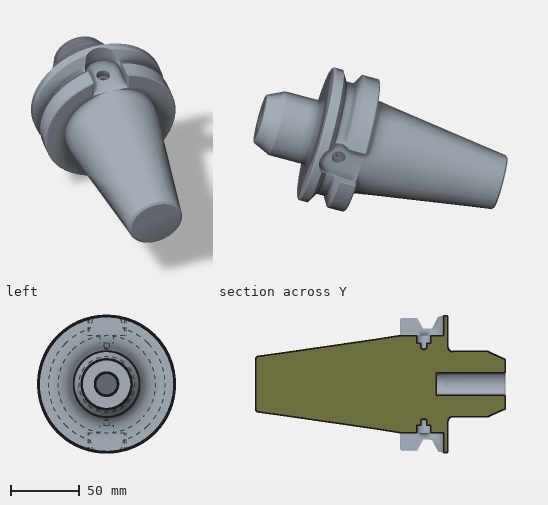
import cadquery as cq
import math

total_length = 181.8

nose_radius = 24.0
nose_tip_radius = 18.4
nose_tip_edge = 0.5
nose_cone_length = 12.7
nose_relief_start = 37.8
nose_relief_diameter = 47.8
nose_relief_radius = nose_relief_diameter / 2
nose_relief_ramp = 1.0
nose_fillet = 3.3
nose_fillet_end_radius = 27.5
nose_fillet_rim_radius = 28.4
nose_fillet_rim_depth = 0.2

flange_start = 41.8
flange_end = 76.7
flange_radius = 50.0
flange_edge = 0.9
groove_radius = 42.4
groove_floor_start = 53.5
groove_floor_end = 59.8
groove_flank_angle = 60.0
groove_flank_length = (flange_radius - groove_radius) / math.tan(math.radians(groove_flank_angle))

cone_start_radius = 35.5
cone_slope = 7 / 48
cone_edge = 1.3
cone_end_radius = cone_start_radius - (total_length - flange_end) * cone_slope

bore_diameter = 16.0
bore_depth = 50.0
bore_chamfer = 0.7

slot_half_width = 12.9
slot_center_x = 58.0
slot_floor = 35.5
slot_floor_fillet = 0.9
slot_rear_bevel = 0.9
slot_outer_bevel = 0.4

hole_x = 59.5
counterbore_diameter = 10.0
counterbore_depth = 5.5
pilot_diameter = 4.0
pilot_depth = 3.6
drill_point_angle = 118.0


def make_body():
    """Revolve the nose, flange and rear cone about X."""
    outline = (
        cq.Workplane("XY")
        .lineTo(0, nose_tip_radius - nose_tip_edge)
        .lineTo(nose_tip_edge, nose_tip_radius)
        .lineTo(nose_cone_length, nose_radius)
        .lineTo(nose_relief_start, nose_radius)
        .lineTo(nose_relief_start + nose_relief_ramp, nose_relief_radius)
        .radiusArc((flange_start - nose_fillet_rim_depth, nose_fillet_end_radius), -nose_fillet)
        .lineTo(flange_start, nose_fillet_rim_radius)
        .lineTo(flange_start, flange_radius - flange_edge)
        .lineTo(flange_start + flange_edge, flange_radius)
        .lineTo(groove_floor_start - groove_flank_length, flange_radius)
        .lineTo(groove_floor_start, groove_radius)
        .lineTo(groove_floor_end, groove_radius)
        .lineTo(groove_floor_end + groove_flank_length, flange_radius)
        .lineTo(flange_end - flange_edge, flange_radius)
        .lineTo(flange_end, flange_radius - flange_edge)
        .lineTo(flange_end, cone_start_radius)
        .lineTo(total_length - cone_edge, cone_end_radius + cone_edge * cone_slope)
        .lineTo(total_length, cone_end_radius - cone_edge)
        .lineTo(total_length, 0)
        .close()
    )
    return outline.revolve(360, (0, 0, 0), (1, 0, 0))


def make_bore():
    """Blind bore in the nose with a chamfered mouth."""
    radius = bore_diameter / 2
    return (
        cq.Workplane("XY")
        .lineTo(0, radius + bore_chamfer)
        .lineTo(bore_chamfer, radius)
        .lineTo(bore_depth, radius)
        .lineTo(bore_depth, 0)
        .close()
        .revolve(360, (0, 0, 0), (1, 0, 0))
    )


def make_slot():
    """Round-ended slot on the +Z side, open toward the rear cone."""
    straight_length = flange_end - slot_center_x
    height = flange_radius - slot_floor
    base = cq.Workplane("XY", origin=(slot_center_x, 0, slot_floor))
    slot = (
        base.moveTo(0, slot_half_width)
        .lineTo(straight_length, slot_half_width)
        .lineTo(straight_length, -slot_half_width)
        .lineTo(0, -slot_half_width)
        .threePointArc((-slot_half_width, 0), (0, slot_half_width))
        .close()
        .extrude(height)
    )
    return slot.faces("<Z").edges("not >X").fillet(slot_floor_fillet)


def make_slot_hole():
    """Counterbored pilot hole with a drill point, running down from the slot floor."""
    counterbore_floor = slot_floor - counterbore_depth
    pilot_floor = counterbore_floor - pilot_depth
    pilot_radius = pilot_diameter / 2
    point_depth = pilot_radius / math.tan(math.radians(drill_point_angle / 2))
    return (
        cq.Workplane("XZ")
        .moveTo(hole_x, slot_floor)
        .lineTo(hole_x + counterbore_diameter / 2, slot_floor)
        .lineTo(hole_x + counterbore_diameter / 2, counterbore_floor)
        .lineTo(hole_x + pilot_radius, counterbore_floor)
        .lineTo(hole_x + pilot_radius, pilot_floor)
        .lineTo(hole_x, pilot_floor - point_depth)
        .close()
        .revolve(360, (hole_x, 0, 0), (hole_x, 1, 0))
    )


def make_slot_bevels():
    """Wedges that bevel the outer and rear edges of the slot walls behind the groove."""
    bevel = slot_rear_bevel
    rear_bevel = (
        cq.Workplane("XY", origin=(flange_end, 0, slot_floor))
        .moveTo(-bevel, slot_half_width)
        .lineTo(0, slot_half_width + bevel)
        .lineTo(0, -slot_half_width - bevel)
        .lineTo(-bevel, -slot_half_width)
        .close()
        .extrude(flange_radius - slot_floor)
    )
    wall_top = math.sqrt(flange_radius**2 - slot_half_width**2)
    bevel_start = wall_top - slot_outer_bevel
    rise = flange_radius - bevel_start
    outer_bevel = (
        cq.Workplane("YZ", origin=(groove_floor_end, 0, bevel_start))
        .moveTo(slot_half_width, 0)
        .lineTo(slot_half_width + rise, rise)
        .lineTo(-slot_half_width - rise, rise)
        .lineTo(-slot_half_width, 0)
        .close()
        .extrude(flange_end - groove_floor_end)
    )
    return rear_bevel.union(outer_bevel)


result = make_body().cut(make_bore())
for side_angle in (0, 180):
    for cutter in (make_slot(), make_slot_bevels(), make_slot_hole()):
        result = result.cut(cutter.rotate((0, 0, 0), (1, 0, 0), side_angle))